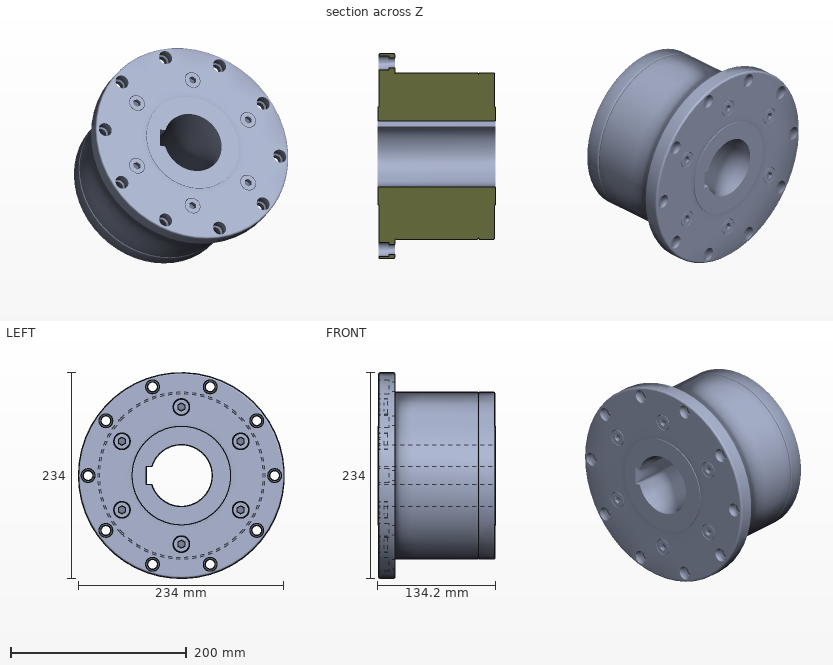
import cadquery as cq
import math

hub_lip = 1.0
flange_thickness = 18.7
sleeve_length = 94.8
cap_length = 18.7

flange_diameter = 234
body_diameter = 190.0
hub_diameter = 112.0
bore_diameter = 70.0

flange_round = 2.3
sleeve_round = 1.9
cap_end_round = 2.3

key_width = 20.1
key_reach = 39.8

rim_hole_count = 10
rim_circle_radius = 106.0
rim_hole_diameter = 11.0
counterbore_diameter = 15.7
counterbore_depth = 11.7

screw_count = 6
screw_circle_radius = 78.0
screw_head_diameter = 17.8
screw_recess_diameter = 19.0
screw_recess_depth = 10.0
socket_flats = 8.0
socket_depth = 6.0

flange_front = hub_lip
flange_back = flange_front + flange_thickness
sleeve_end = flange_back + sleeve_length
cap_end = sleeve_end + cap_length
total_length = cap_end + hub_lip


def disc(start, length, diameter):
    return cq.Workplane("YZ", origin=(start, 0, 0)).circle(diameter / 2).extrude(length)


def circle_points(count, radius, first_angle):
    """(Y, Z) positions equally spaced around the X axis."""
    angles = [math.radians(first_angle + i * 360 / count) for i in range(count)]
    return [(radius * math.cos(a), radius * math.sin(a)) for a in angles]


def turned_body():
    """Flange, sleeve and cap; their rounded ends leave a small groove at the seam."""
    flange = disc(flange_front, flange_thickness, flange_diameter).edges().fillet(flange_round)
    sleeve = disc(flange_back, sleeve_length, body_diameter).edges().fillet(sleeve_round)
    cap = disc(sleeve_end, cap_length, body_diameter)
    cap = cap.faces("<X").edges().fillet(sleeve_round)
    cap = cap.faces(">X").edges().fillet(cap_end_round)
    hub = disc(0, total_length, hub_diameter)
    return flange.union(sleeve).union(cap).union(hub)


def bore_with_keyway():
    bore = disc(0, total_length, bore_diameter)
    keyway = cq.Workplane("XY").box(
        total_length, key_reach, key_width, centered=(False, False, True)
    )
    return bore.union(keyway)


def rim_holes():
    points = circle_points(rim_hole_count, rim_circle_radius, 0)
    front = cq.Workplane("YZ", origin=(flange_front, 0, 0)).pushPoints(points)
    holes = front.circle(rim_hole_diameter / 2).extrude(flange_thickness)
    counterbores = front.circle(counterbore_diameter / 2).extrude(counterbore_depth)
    return holes.union(counterbores)


def screw_recesses():
    """Clearance ring around each screw head, and the hexagon socket inside it."""
    points = circle_points(screw_count, screw_circle_radius, 90)
    front = cq.Workplane("YZ", origin=(flange_front, 0, 0)).pushPoints(points)
    recesses = front.circle(screw_recess_diameter / 2).extrude(screw_recess_depth)
    heads = front.circle(screw_head_diameter / 2).extrude(screw_recess_depth)
    socket_corners = socket_flats / math.cos(math.pi / 6)
    socket = cq.Sketch().regularPolygon(socket_corners / 2, 6)
    sockets = front.placeSketch(socket).extrude(socket_depth)
    return recesses.cut(heads).union(sockets)


result = turned_body().cut(bore_with_keyway()).cut(rim_holes()).cut(screw_recesses())